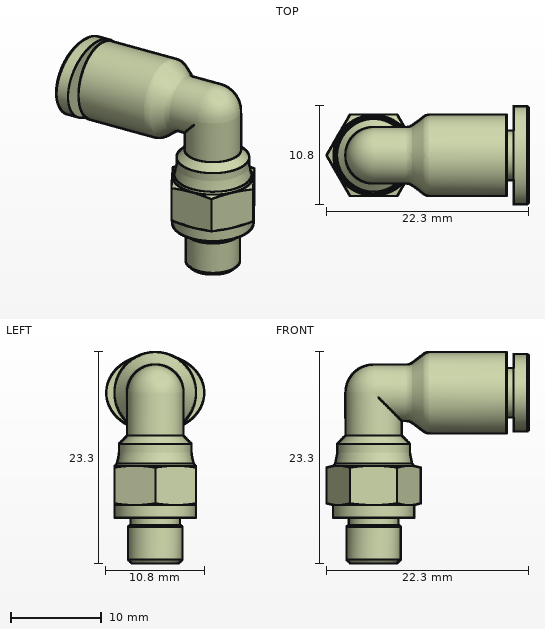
import cadquery as cq
import math

thread_radius = 3.0
thread_top = 4.29
thread_lower_chamfer = 0.47
thread_upper_chamfer = 0.23
relief_radius = 2.75

across_flats = 9.0
collar_radius = across_flats / 2
collar_bottom = 5.0
collar_edge_chamfer = 0.1
hex_bottom = 6.45
hex_top = 10.76
hex_chamfer_angle = 15

shoulder_base_radius = 4.43
shoulder_skirt_radius = 4.25
shoulder_radius = 4.0
shoulder_skirt_bottom = 11.02
shoulder_skirt_top = 12.19
shoulder_top = 13.19
shoulder_cone_top = 14.1

overall_height = 23.3
elbow_radius = 3.12
socket_radius = across_flats / 2
arm_height = overall_height - socket_radius
flare_start = 3.98
flare_end = 5.8
flare_fillet = 1.0
socket_end = 14.68
socket_edge_chamfer = 0.1

button_neck_radius = 2.75
button_half_width = 5.4
button_half_height = 4.29
button_start = 15.4
button_end = 17.1
button_chamfer = 0.23


def make_stud():
    """Thread, relief groove and collar, up to the bottom of the hexagon."""
    return (
        cq.Workplane("XZ")
        .moveTo(0, 0)
        .lineTo(thread_radius - thread_lower_chamfer, 0)
        .lineTo(thread_radius, thread_lower_chamfer)
        .lineTo(thread_radius, thread_top - thread_upper_chamfer)
        .lineTo(relief_radius, thread_top)
        .lineTo(relief_radius, collar_bottom)
        .lineTo(collar_radius - collar_edge_chamfer, collar_bottom)
        .lineTo(collar_radius, collar_bottom + collar_edge_chamfer)
        .lineTo(collar_radius, hex_bottom)
        .lineTo(0, hex_bottom)
        .close()
        .revolve(360, (0, 0, 0), (0, 1, 0))
    )


def make_hexagon():
    """Hexagon with corners on the X axis, its corners trimmed by cones at both ends."""
    corner_radius = across_flats / math.sqrt(3)
    flat_radius = across_flats / 2
    corner_drop = (corner_radius - flat_radius) * math.tan(math.radians(hex_chamfer_angle))
    prism = (
        cq.Workplane("XY")
        .workplane(offset=hex_bottom)
        .polygon(6, 2 * corner_radius)
        .extrude(hex_top - hex_bottom)
    )
    envelope = (
        cq.Workplane("XZ")
        .moveTo(0, hex_bottom)
        .lineTo(flat_radius, hex_bottom)
        .lineTo(corner_radius, hex_bottom + corner_drop)
        .lineTo(corner_radius, hex_top - corner_drop)
        .lineTo(flat_radius, hex_top)
        .lineTo(0, hex_top)
        .close()
        .revolve(360, (0, 0, 0), (0, 1, 0))
    )
    return prism.intersect(envelope)


def make_riser():
    """Stepped shoulder and the upright pipe, closed by the round elbow corner."""
    return (
        cq.Workplane("XZ")
        .moveTo(0, hex_top)
        .lineTo(shoulder_base_radius, hex_top)
        .lineTo(shoulder_skirt_radius, shoulder_skirt_bottom)
        .lineTo(shoulder_radius, shoulder_skirt_top)
        .lineTo(shoulder_radius, shoulder_top)
        .lineTo(elbow_radius, shoulder_cone_top)
        .lineTo(elbow_radius, arm_height)
        .radiusArc((0, arm_height + elbow_radius), -elbow_radius)
        .close()
        .revolve(360, (0, 0, 0), (0, 1, 0))
    )


def make_arm():
    """Horizontal pipe flaring into the tube socket, with the neck of the release button."""
    arm = (
        cq.Workplane("XZ", origin=(0, 0, arm_height))
        .moveTo(0, 0)
        .lineTo(0, elbow_radius)
        .lineTo(flare_start, elbow_radius)
        .lineTo(flare_end, socket_radius)
        .lineTo(socket_end - socket_edge_chamfer, socket_radius)
        .lineTo(socket_end, socket_radius - socket_edge_chamfer)
        .lineTo(socket_end, button_neck_radius)
        .lineTo(button_start, button_neck_radius)
        .lineTo(button_start, 0)
        .close()
        .revolve(360, (0, 0, 0), (1, 0, 0))
    )
    flare_rims = cq.selectors.BoxSelector(
        (flare_start - 0.23, -0.23, arm_height - 0.23),
        (flare_end + 0.23, 0.23, arm_height + 0.23),
    )
    return arm.edges(flare_rims).fillet(flare_fillet)


def make_button():
    """Elliptical release button, wider along Y, with a chamfered outer rim."""
    return (
        cq.Workplane("YZ", origin=(button_start, 0, arm_height))
        .ellipse(button_half_width, button_half_height)
        .extrude(button_end - button_start)
        .faces(">X")
        .edges()
        .chamfer(button_chamfer)
    )


result = (
    make_stud()
    .union(make_hexagon())
    .union(make_riser())
    .union(make_arm())
    .union(make_button())
)